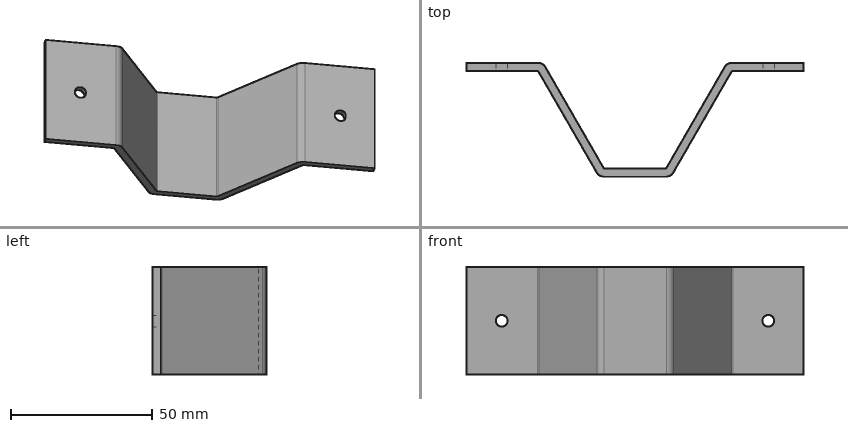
import cadquery as cq
import math

length = 119.4
depth = 40.4
height = 38.1
thickness = 3.0
wall_angle = 60.0
base_flat = 22.0
inner_radius = 0.5
outer_radius = 3.0
hole_diameter = 4.0
hole_inset = 12.5

rise = depth - thickness
half_bend_tan = math.tan(math.radians(wall_angle / 2))
wall_run = rise / math.tan(math.radians(wall_angle))
half_length = length / 2

front_base_x = base_flat / 2 + outer_radius * half_bend_tan
front_flange_x = front_base_x + wall_run
corner_shift = thickness * half_bend_tan
back_base_x = front_base_x - corner_shift
back_flange_x = front_flange_x - corner_shift


def make_bent_strip():
    """Hat-shaped strip with sharp bends, extruded along Z."""
    right_half = [
        (front_base_x, 0),
        (front_flange_x, rise),
        (half_length, rise),
        (half_length, depth),
        (back_flange_x, depth),
        (back_base_x, thickness),
    ]
    left_half = [(-x, y) for x, y in reversed(right_half)]
    return cq.Workplane("XY").polyline(right_half + left_half).close().extrude(height)


def round_bends(body, corners, radius):
    """Round the vertical edges at the given corners and their mirror images."""
    for x, y in corners:
        for side in (-1, 1):
            nearest = cq.selectors.NearestToPointSelector((side * x, y, height / 2))
            body = body.edges("|Z").edges(nearest).fillet(radius)
    return body


def make_hole(x):
    """Cutter running through a flange along Y."""
    return (
        cq.Workplane("XZ", origin=(x, depth, height / 2))
        .circle(hole_diameter / 2)
        .extrude(thickness)
    )


result = make_bent_strip()

result = round_bends(result, [(front_base_x, 0), (back_flange_x, depth)], outer_radius)
result = round_bends(result, [(front_flange_x, rise), (back_base_x, thickness)], inner_radius)

for side in (-1, 1):
    result = result.cut(make_hole(side * (half_length - hole_inset)))